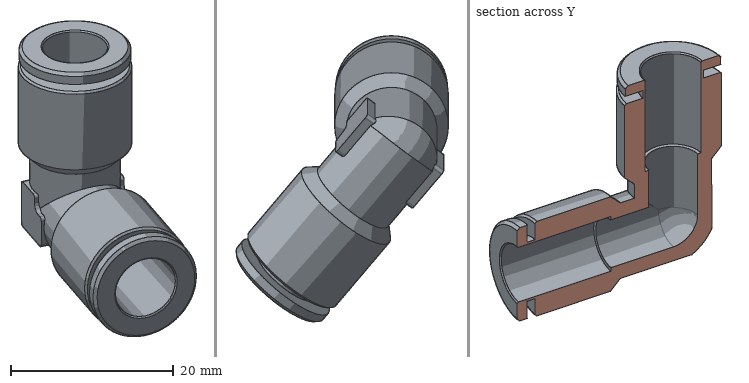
import cadquery as cq

body_diameter = 14.0
arm_diameter = 11.2
ring_diameter = 13.8
neck_diameter = 8.8
tube_bore_diameter = 8.0
flow_bore_diameter = 7.0

arm_length = 29.5 - body_diameter / 2
ring_thickness = 1.5
neck_gap = 1.05
body_length = 10.92
ring_chamfer = 0.38
body_chamfer = 0.27
mouth_chamfer = 0.18
ring_start = arm_length - ring_thickness
body_end = ring_start - neck_gap
body_start = body_end - body_length
cone_length = (body_diameter - arm_diameter) / 2
cone_start = body_start - cone_length

corner_center = 0.18
corner_sweep_radius = 0.85

pad_low = -2.8
pad_high = 3.5
pad_notch = 1.4
pad_width = 11.98
pad_corner_round = 0.45
pad_notch_round = 1.05


def along_x(shape):
    """Turn a shape built along +Z so that it lies along +X."""
    return shape.rotate((0, 0, 0), (0, 1, 0), 90)


def make_socket():
    """Revolved socket along +Z: cone, body, neck and release ring."""
    arm_r = arm_diameter / 2
    body_r = body_diameter / 2
    neck_r = neck_diameter / 2
    ring_r = ring_diameter / 2
    profile = [
        (0, cone_start),
        (arm_r, cone_start),
        (body_r, body_start),
        (body_r, body_end - body_chamfer),
        (body_r - body_chamfer, body_end),
        (neck_r, body_end),
        (neck_r, ring_start),
        (ring_r, ring_start),
        (ring_r, arm_length - ring_chamfer),
        (ring_r - ring_chamfer, arm_length),
        (0, arm_length),
    ]
    return cq.Workplane("XZ").polyline(profile).close().revolve(360, (0, 0, 0), (0, 1, 0))


def make_bore():
    """Stepped bore along +Z with a chamfered mouth, starting at the axis crossing."""
    flow_r = flow_bore_diameter / 2
    tube_r = tube_bore_diameter / 2
    profile = [
        (0, 0),
        (flow_r, 0),
        (flow_r, body_start),
        (tube_r, body_start),
        (tube_r, arm_length - mouth_chamfer),
        (tube_r + mouth_chamfer, arm_length),
        (0, arm_length),
    ]
    return cq.Workplane("XZ").polyline(profile).close().revolve(360, (0, 0, 0), (0, 1, 0))


def make_bore_corner():
    """Sphere sector that joins the inner ends of the two bores."""
    radius = flow_bore_diameter / 2
    half_disc = cq.Workplane("XY").moveTo(0, -radius).threePointArc((-radius, 0), (0, radius)).close()
    return half_disc.revolve(90, (0, 0, 0), (0, -1, 0))


def make_pads():
    """One L-shaped block through the elbow; its two ends stand out as the pads."""
    outline = [
        (pad_low, pad_low),
        (pad_high, pad_low),
        (pad_high, pad_notch),
        (pad_notch, pad_notch),
        (pad_notch, pad_high),
        (pad_low, pad_high),
    ]
    block = cq.Workplane("XZ").polyline(outline).close().extrude(pad_width / 2, both=True)
    notch_edge = cq.selectors.NearestToPointSelector((pad_notch, 0, pad_notch))
    corner_edges = cq.selectors.SubtractSelector(cq.selectors.StringSyntaxSelector("|Y"), notch_edge)
    return block.edges(corner_edges).fillet(pad_corner_round).edges(notch_edge).fillet(pad_notch_round)


def make_corner_trim():
    """Material outside the rounding torus in the outer corner quadrant of the elbow."""
    arm_r = arm_diameter / 2
    quadrant = cq.Workplane("XY").box(arm_diameter, body_diameter, arm_diameter)
    quadrant = quadrant.translate((corner_center - arm_r, 0, corner_center - arm_r))
    kept = (
        cq.Workplane("XY", origin=(corner_center, 0, corner_center))
        .moveTo(0, -arm_r)
        .lineTo(corner_sweep_radius, -arm_r)
        .threePointArc((corner_sweep_radius + arm_r, 0), (corner_sweep_radius, arm_r))
        .lineTo(0, arm_r)
        .close()
        .revolve(360, (0, 0, 0), (0, 1, 0))
    )
    return quadrant.cut(kept)


def make_elbow():
    """Mitred round elbow with a rounded outer corner and pads."""
    path = cq.Workplane("XZ").polyline([(0, cone_start), (0, 0), (cone_start, 0)])
    section = cq.Workplane("XY", origin=(0, 0, cone_start)).circle(arm_diameter / 2)
    elbow = section.sweep(path, transition="right")
    return elbow.cut(make_corner_trim()).union(make_pads())


socket = make_socket()
bore = make_bore()
result = make_elbow().union(socket).union(along_x(socket))
result = result.cut(bore.union(along_x(bore)).union(make_bore_corner()))